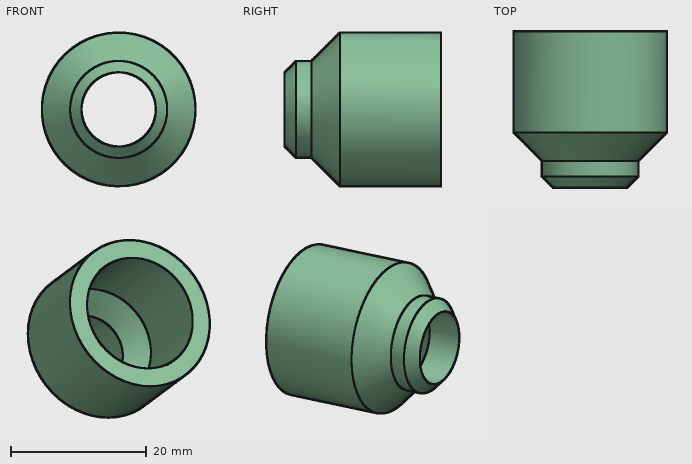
import cadquery as cq

total_length = 23.22
body_diameter = 22.8
neck_diameter = 14.37
bore_diameter = 10.95
body_length = 15.0
bore_length = 5.2
wall_thickness = 2.79

body_radius = body_diameter / 2
neck_radius = neck_diameter / 2
bore_radius = bore_diameter / 2
socket_radius = body_radius - wall_thickness

shoulder_length = body_radius - neck_radius
tip_length = neck_radius - bore_radius

back_y = total_length / 2
body_front_y = back_y - body_length
neck_back_y = body_front_y - shoulder_length
tip_y = -total_length / 2
neck_front_y = tip_y + tip_length
socket_front_y = tip_y + bore_length
socket_taper_back_y = socket_front_y + socket_radius - bore_radius

profile = (
    cq.Workplane("XY")
    .moveTo(bore_radius, tip_y)
    .lineTo(neck_radius, neck_front_y)
    .lineTo(neck_radius, neck_back_y)
    .lineTo(body_radius, body_front_y)
    .lineTo(body_radius, back_y)
    .lineTo(socket_radius, back_y)
    .lineTo(socket_radius, socket_taper_back_y)
    .lineTo(bore_radius, socket_front_y)
    .close()
)

result = profile.revolve(360, (0, 0, 0), (0, 1, 0))